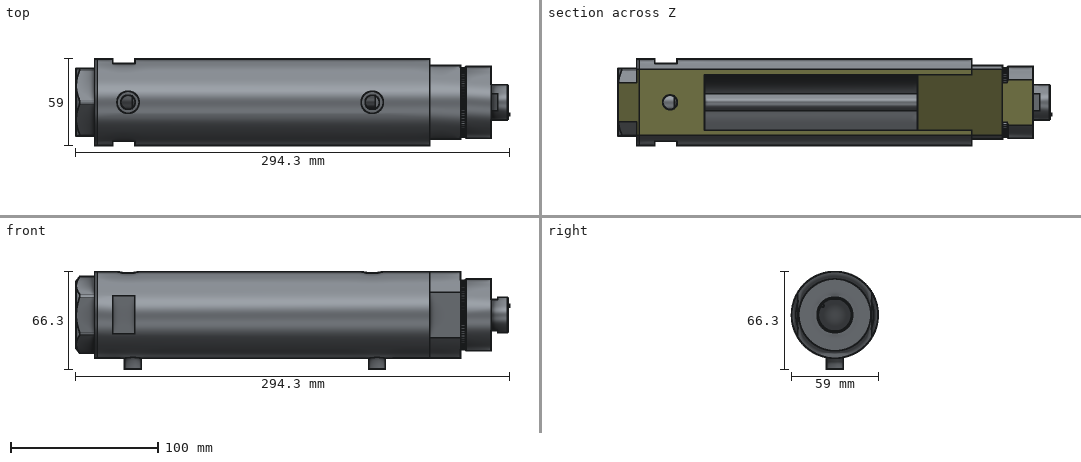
import cadquery as cq
import math


total_length = 294.3
hex_length = 12.7
flange_end = 14.5
housing_end = 240.1
head_end = 261.0
ring_start = 264.0
ring_end = 281.5
tail_end = 293.5

outer_radius = 29.5
port_x = 35.3
port_spacing = 165.7
port_diameter = 9.7
spotface_diameter = 15.0
spotface_depth = 1.03
peg_offset = 3.2
peg_diameter = 11.5
peg_tip_z = -36.8
wrench_flat_start = 25.0
wrench_flat_length = 15.0
wrench_flat_y = 26.5
narrow_bore_radius = 10.3
wide_bore_radius = 26.5
wide_bore_start = 59.0

hex_across_flats = 46.0
hex_corner_radius = 2.5
hex_bevel_length = 3.0
hex_face_radius = 22.7
plug_spigot_end = 38.3

head_flat_y = 25.0
head_spigot_start = 203.0
rod_radius = 6.0

ring_radius = 24.5
ring_chamfer = 1.0
tooth_tip_radius = 23.5
tooth_root_radius = 22.5
tooth_count = 72
tail_radius = 12.0
tail_chamfer = 1.0
tail_flat_length = 4.5
tail_flat_z = 10.5
nub_diameter = 1.8
nub_y = -8.2
nub_z = 6.2

port_positions = [port_x, port_x + port_spacing]


def turned(steps):
    """Solid of revolution about X from (start x, end x, radius) steps laid end to end."""
    profile = [(steps[0][0], 0)]
    for start, end, radius in steps:
        profile += [(start, radius), (end, radius)]
    profile.append((steps[-1][1], 0))
    return cq.Workplane("XZ").polyline(profile).close().revolve(360, (0, 0, 0), (1, 0, 0))


def cut_side_flats(body, start, length, flat_y):
    """Mill a pair of flats at y = +/-flat_y, full height."""
    depth = outer_radius - flat_y
    for side in (-1, 1):
        cutter = cq.Workplane("XY").box(length, depth, 2 * outer_radius, centered=(False, True, True))
        body = body.cut(cutter.translate((start, side * (flat_y + depth / 2), 0)))
    return body


def vertical_cylinder(x, diameter, bottom, top):
    return cq.Workplane("XY", origin=(x, 0, bottom)).circle(diameter / 2).extrude(top - bottom)


def make_housing():
    """Tube with two spotfaced ports on top, two pegs below and a pair of wrench flats."""
    body = turned([(flange_end, housing_end, outer_radius)])
    for x in port_positions:
        body = body.union(vertical_cylinder(x + peg_offset, peg_diameter, peg_tip_z, 0))
        spotface_z = outer_radius - spotface_depth
        body = body.cut(vertical_cylinder(x, spotface_diameter, spotface_z, outer_radius))
        body = body.cut(vertical_cylinder(x, port_diameter, 0, outer_radius))
    body = cut_side_flats(body, wrench_flat_start, wrench_flat_length, wrench_flat_y)
    bore = turned([
        (flange_end, wide_bore_start, narrow_bore_radius),
        (wide_bore_start, housing_end, wide_bore_radius),
    ])
    return body.cut(bore)


def make_plug():
    """Hex-headed plug with a thin flange and a spigot that fills the narrow bore."""
    corner_diameter = hex_across_flats / math.cos(math.pi / 6)
    hexagon = cq.Workplane("YZ").transformed(rotate=(0, 0, 90)).polygon(6, corner_diameter)
    head = hexagon.extrude(hex_length).edges("|X").fillet(hex_corner_radius)
    envelope_radius = corner_diameter / 2
    envelope = (
        cq.Workplane("XZ")
        .polyline([
            (0, 0),
            (0, hex_face_radius),
            (hex_bevel_length, envelope_radius),
            (hex_length, envelope_radius),
            (hex_length, 0),
        ])
        .close()
        .revolve(360, (0, 0, 0), (1, 0, 0))
    )
    shank = turned([
        (hex_length, flange_end, outer_radius),
        (flange_end, plug_spigot_end, narrow_bore_radius),
    ])
    return head.intersect(envelope).union(shank)


def make_head():
    """End piece with wrench flats, a spigot in the wide bore and a rod reaching the plug."""
    body = turned([
        (plug_spigot_end, head_spigot_start, rod_radius),
        (head_spigot_start, housing_end, wide_bore_radius),
        (housing_end, head_end, outer_radius),
    ])
    return cut_side_flats(body, housing_end, head_end - housing_end, head_flat_y)


def make_toothed_collar():
    """Short neck of V-shaped teeth between the head and the ring."""
    points = []
    for i in range(2 * tooth_count):
        radius = tooth_tip_radius if i % 2 == 0 else tooth_root_radius
        angle = math.pi * i / tooth_count
        points.append((radius * math.cos(angle), radius * math.sin(angle)))
    collar = cq.Workplane("YZ", origin=(head_end, 0, 0)).polyline(points).close()
    return collar.extrude(ring_start - head_end)


def make_connector():
    """Toothed collar, ring and tail; the tail has a pair of flats and a small end nub."""
    ring = turned([(ring_start, ring_end, ring_radius)]).faces("<X").chamfer(ring_chamfer)
    tail = turned([(ring_end, tail_end, tail_radius)]).faces(">X").chamfer(tail_chamfer)
    flat_depth = tail_radius - tail_flat_z
    for side in (-1, 1):
        cutter = cq.Workplane("XY").box(
            tail_flat_length, 2 * tail_radius, flat_depth, centered=(False, True, True)
        )
        tail = tail.cut(cutter.translate((ring_end, 0, side * (tail_flat_z + flat_depth / 2))))
    nub = cq.Workplane("YZ", origin=(ring_end, 0, 0)).center(nub_y, nub_z).circle(nub_diameter / 2)
    nub = nub.extrude(total_length - ring_end)
    return make_toothed_collar().union(ring).union(tail).union(nub)


housing = make_housing()
plug = make_plug()
head = make_head()
connector = make_connector()

result = cq.Compound.makeCompound([housing.val(), plug.val(), head.val(), connector.val()])